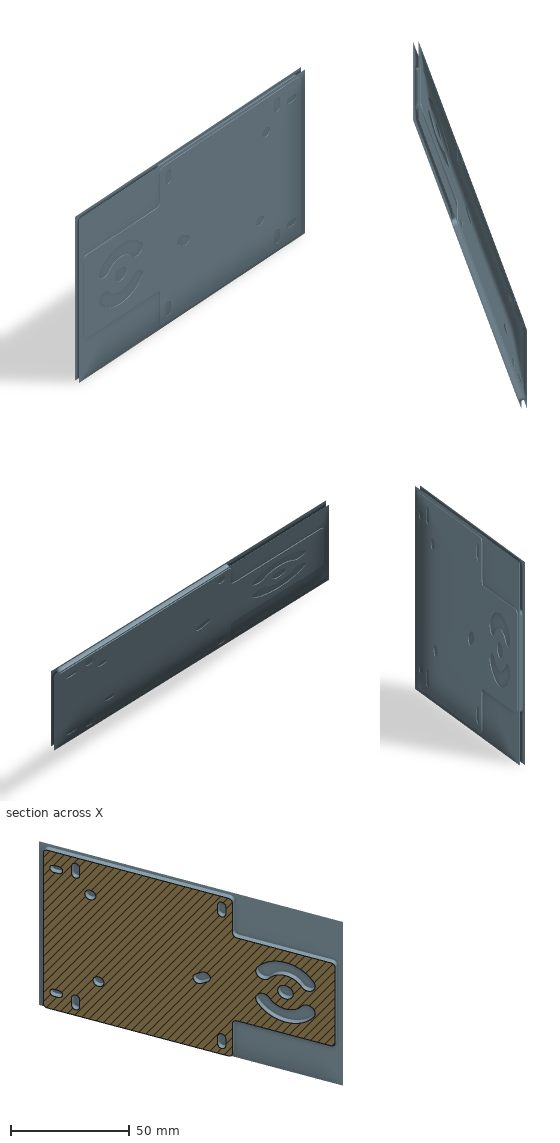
import cadquery as cq
import math

STACK_THICKNESS = 2.9
BOARD_THICKNESS = 2.2
SHEET_THICKNESS = 0.07
COVER_THICKNESS = (STACK_THICKNESS - BOARD_THICKNESS) / 2 - SHEET_THICKNESS

SHEET_LENGTH = 139.4
SHEET_HEIGHT = 88.4

TEE_LENGTH = 134.0
HEAD_HEIGHT = 85.4
TAIL_HEIGHT = 45.0
NECK_Y = -19.9
CORNER_RADIUS = 2.1

SLOT_WIDTH = 3.5
UPRIGHT_SLOT_LENGTH = 7.7
UPRIGHT_SLOT_YS = (52.1, -14.9)
UPRIGHT_SLOT_Z = 35.5
LEVEL_SLOT_LENGTH = 5.7
LEVEL_SLOT_Y = 61.0
LEVEL_SLOT_Z = 33.5

HOLE_DIAMETER = 4.9
HOLE_CENTERS = ((45.5, 24.5), (41.7, -21.0))
TILTED_SLOT_LENGTH = 8.4
TILTED_SLOT_CENTER = (-5.7, -4.2)
TILTED_SLOT_ANGLE = -33.0

PIVOT_Y = -44.2
PIVOT_DIAMETER = 7.0
CURVED_SLOT_WIDTH = 6.8
CURVED_SLOT_RADIUS = 12.5
CURVED_SLOT_HALF_ANGLE = 54.0


def layer_plane(x_start):
    """Workplane on the YZ plane: local x is Y, local y is Z, extrusion goes along +X."""
    return cq.Workplane("YZ", origin=(x_start, 0, 0))


def tee_blank(x_start, thickness):
    rear_y = TEE_LENGTH / 2
    head_z = HEAD_HEIGHT / 2
    tail_z = TAIL_HEIGHT / 2
    outline = [
        (rear_y, -head_z),
        (rear_y, head_z),
        (NECK_Y, head_z),
        (NECK_Y, tail_z),
        (-rear_y, tail_z),
        (-rear_y, -tail_z),
        (NECK_Y, -tail_z),
        (NECK_Y, -head_z),
    ]
    blank = layer_plane(x_start).polyline(outline).close().extrude(thickness)
    return blank.edges("|X").fillet(CORNER_RADIUS)


def straight_slots(x_start, thickness):
    upright_centers = [(y, side * UPRIGHT_SLOT_Z) for y in UPRIGHT_SLOT_YS for side in (1, -1)]
    level_centers = [(LEVEL_SLOT_Y, side * LEVEL_SLOT_Z) for side in (1, -1)]
    plane = layer_plane(x_start)
    upright = plane.pushPoints(upright_centers).slot2D(UPRIGHT_SLOT_LENGTH, SLOT_WIDTH, 90).extrude(thickness)
    level = plane.pushPoints(level_centers).slot2D(LEVEL_SLOT_LENGTH, SLOT_WIDTH).extrude(thickness)
    tilted = (
        plane.center(*TILTED_SLOT_CENTER)
        .slot2D(TILTED_SLOT_LENGTH, HOLE_DIAMETER, TILTED_SLOT_ANGLE)
        .extrude(thickness)
    )
    return upright.add(level).add(tilted)


def round_holes(x_start, thickness):
    plane = layer_plane(x_start)
    holes = plane.pushPoints(HOLE_CENTERS).circle(HOLE_DIAMETER / 2).extrude(thickness)
    pivot = plane.center(PIVOT_Y, 0).circle(PIVOT_DIAMETER / 2).extrude(thickness)
    return holes.add(pivot)


def curved_slot(x_start, thickness, side):
    """Curved slot around the pivot, above it for side = 1 and below it for side = -1."""
    def polar(radius, angle_from_vertical):
        angle = math.radians(angle_from_vertical)
        return (radius * math.sin(angle), side * radius * math.cos(angle))

    inner = CURVED_SLOT_RADIUS - CURVED_SLOT_WIDTH / 2
    outer = CURVED_SLOT_RADIUS + CURVED_SLOT_WIDTH / 2
    end = CURVED_SLOT_HALF_ANGLE
    cap_reach = math.hypot(CURVED_SLOT_RADIUS, CURVED_SLOT_WIDTH / 2)
    cap_angle = end + math.degrees(math.atan2(CURVED_SLOT_WIDTH / 2, CURVED_SLOT_RADIUS))
    return (
        layer_plane(x_start)
        .center(PIVOT_Y, 0)
        .moveTo(*polar(outer, -end))
        .threePointArc(polar(outer, 0), polar(outer, end))
        .threePointArc(polar(cap_reach, cap_angle), polar(inner, end))
        .threePointArc(polar(inner, 0), polar(inner, -end))
        .threePointArc(polar(cap_reach, -cap_angle), polar(outer, -end))
        .close()
        .extrude(thickness)
    )


def perforated_tee(x_start, thickness):
    tee = tee_blank(x_start, thickness)
    cutters = straight_slots(x_start, thickness).add(round_holes(x_start, thickness))
    for side in (1, -1):
        cutters = cutters.add(curved_slot(x_start, thickness, side))
    for cutter in cutters.vals():
        tee = tee.cut(cq.Workplane(cutter))
    return tee


def make_board():
    return perforated_tee(-BOARD_THICKNESS / 2, BOARD_THICKNESS)


def make_sheet(x_start):
    return layer_plane(x_start).rect(SHEET_LENGTH, SHEET_HEIGHT).extrude(SHEET_THICKNESS)


def make_cover(x_start):
    return perforated_tee(x_start, COVER_THICKNESS)


board = make_board()
sheets = [make_sheet(x) for x in (-BOARD_THICKNESS / 2 - SHEET_THICKNESS, BOARD_THICKNESS / 2)]
covers = [make_cover(x) for x in (-STACK_THICKNESS / 2, STACK_THICKNESS / 2 - COVER_THICKNESS)]

result = cq.Compound.makeCompound([
    board.val(),
    *[sheet.val() for sheet in sheets],
    *[cover.val() for cover in covers],
])